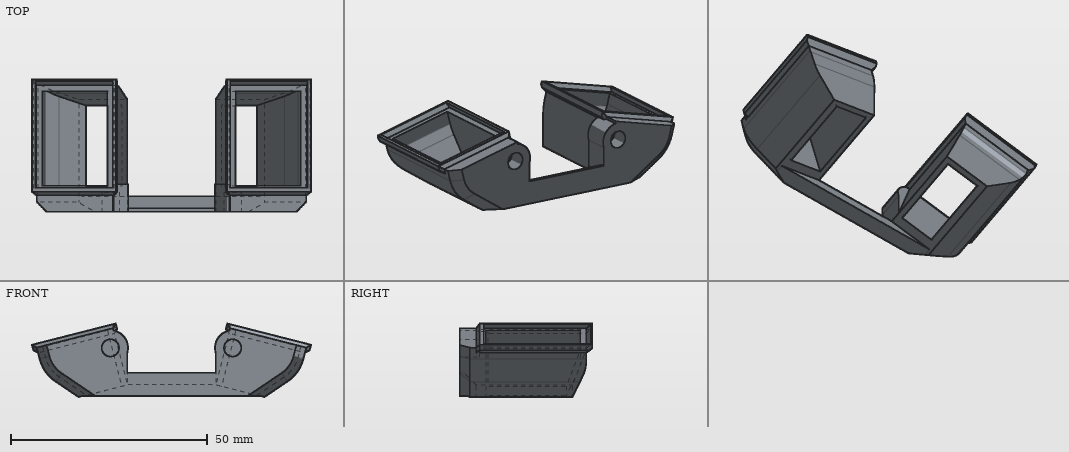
import math

import cadquery as cq

OVERALL_LENGTH = 70.98
TILT = 14.28

RIM_WIDTH = 22.0
RIM_FRONT_Y = 5.15
RIM_BACK_Y = 33.7
RIM_SIDE_HEIGHT = 1.5
RIM_BACK_HEIGHT = 0.9
RIM_BASE_DEPTH = 2.3
SIDE_FLARE = 1.0
BACK_FLARE = 1.5
APRON_LENGTH = 0.95
DECK_DEPTH = 1.0

SEAT_DEPTH = 1.1
SEAT_SIDE_WALL = 0.85
SEAT_FRONT_WALL = 1.0
SEAT_BACK_WALL = 0.4
SEAT_BACK_SLOPE = 1.1

BODY_DEPTH = 15.8
BEND_RADIUS = 10.0
OUTER_BEND_DEPTH = 3.9
OUTER_BEND_ANGLE = 41.7
BACK_BEND_DEPTH = 4.5
BACK_BEND_ANGLE = 20.5
SIDE_WALL = 1.5
BACK_WALL = 1.5
CAVITY_FRONT_Y = 6.65

FRAME_BOTTOM_Z = 0.2
FRAME_BEVEL = 2.6
PLATE_BACK_Y = 7.1
BOSS_X = -15.53
BOSS_Z = 12.48
BOSS_RADIUS = 4.5
HOLE_DIAMETER = 4.4
HOLE_DEPTH = 5.0
BAR_TOP_Z = 6.2
BAR_BACK_Y = 4.05
BAR_LEDGE = 1.0
BAR_BACK_Z = 3.2

COS_TILT = math.cos(math.radians(TILT))
SIN_TILT = math.sin(math.radians(TILT))
BODY_OUTER_U = SIDE_FLARE
BODY_INNER_U = RIM_WIDTH - SIDE_FLARE
BODY_BACK_Y = RIM_BACK_Y - BACK_FLARE
DECK_FRONT_Y = RIM_FRONT_Y - APRON_LENGTH
BLANK_DEPTH = BODY_DEPTH + RIM_WIDTH * SIN_TILT


def bend_shift(drop, inset, bend_angle):
    """Inward shift of a bent wall face at a drop below the bend start, inset from the outer face."""
    radius = BEND_RADIUS - inset
    angle = math.radians(bend_angle)
    straight_drop = drop - radius * math.sin(angle)
    return radius * (1 - math.cos(angle)) + straight_drop * math.tan(angle)


FOOT_U = BODY_OUTER_U + bend_shift(BODY_DEPTH - OUTER_BEND_DEPTH, 0, OUTER_BEND_ANGLE)
RIM_OUTER_X = -OVERALL_LENGTH / 2
RIM_OUTER_Z = BODY_DEPTH * COS_TILT - FOOT_U * SIN_TILT
PLATE_INNER_X = RIM_OUTER_X + BODY_INNER_U * COS_TILT + BODY_DEPTH * SIN_TILT


def place(tray_shape):
    """Tilt a shape from the level tray frame into its position on the part."""
    tilted = tray_shape.rotate((0, 0, 0), (0, 1, 0), -TILT)
    return tilted.translate((RIM_OUTER_X, 0, RIM_OUTER_Z))


def box(x_start, x_end, y_start, y_end, z_start, z_end):
    size = (x_end - x_start, y_end - y_start, z_end - z_start)
    return cq.Workplane("XY").box(*size, centered=False).translate((x_start, y_start, z_start))


def bent_wall_section(plane, wall, far_side, inset, bend, top_depth, bottom_depth):
    """Closed section between a bent wall face and a straight far side.

    The face is upright down to the bend depth, then leans over towards the far side by the
    bend angle; bend is that (depth, angle) pair.
    """
    bend_depth, bend_angle = bend
    radius = BEND_RADIUS - inset
    inward = math.copysign(1, far_side - wall)

    def bend_point(angle):
        radians = math.radians(angle)
        return (
            wall + inward * radius * (1 - math.cos(radians)),
            -bend_depth - radius * math.sin(radians),
        )

    foot = wall + inward * bend_shift(bottom_depth - bend_depth, inset, bend_angle)
    return (
        cq.Workplane(plane)
        .moveTo(far_side, -top_depth)
        .lineTo(wall, -top_depth)
        .lineTo(wall, -bend_depth)
        .threePointArc(bend_point(bend_angle / 2), bend_point(bend_angle))
        .lineTo(foot, -bottom_depth)
        .lineTo(far_side, -bottom_depth)
        .close()
    )


def make_blank(inset, inner_u, front_y, top_depth, bottom_depth):
    """Block bounded by the outer wall face, from front_y to the rim back."""
    bend = (OUTER_BEND_DEPTH, OUTER_BEND_ANGLE)
    outer_u = BODY_OUTER_U + inset
    section = bent_wall_section("XZ", outer_u, inner_u, inset, bend, top_depth, bottom_depth)
    return section.extrude(front_y - RIM_BACK_Y).translate((0, front_y, 0))


def make_back_limit(inset, front_y):
    """Block bounded by the back wall face, across the full rim width."""
    bend = (BACK_BEND_DEPTH, BACK_BEND_ANGLE)
    section = bent_wall_section("YZ", BODY_BACK_Y - inset, front_y, inset, bend, 0, BODY_DEPTH)
    return section.extrude(RIM_WIDTH)


def make_bevelled_blank():
    """Over-deep solid block with its front outer edges bevelled."""
    blank = make_blank(0, BODY_INNER_U, 0, DECK_DEPTH, BLANK_DEPTH)
    outer_edges = blank.faces("<Y").edges("not (>X or >Z or <Z)")
    return outer_edges.chamfer(FRAME_BEVEL)


def upright_rectangle(u_start, u_end, depth_start, depth_end, y):
    corners = [
        (u_start, y, -depth_start),
        (u_end, y, -depth_start),
        (u_end, y, -depth_end),
        (u_start, y, -depth_end),
    ]
    return cq.Wire.makePolygon([cq.Vector(*corner) for corner in corners], close=True)


def level_rectangle(u_start, u_end, y_start, y_end, depth):
    corners = [
        (u_start, y_start, -depth),
        (u_end, y_start, -depth),
        (u_end, y_end, -depth),
        (u_start, y_end, -depth),
    ]
    return cq.Wire.makePolygon([cq.Vector(*corner) for corner in corners], close=True)


def frustum(start_wire, end_wire):
    return cq.Workplane(cq.Solid.makeLoft([start_wire, end_wire], True))


def make_rim():
    """Rim with a flared underside at the sides and back, and a sloped apron in front."""
    across = [
        (0, 0),
        (RIM_WIDTH, 0),
        (RIM_WIDTH, -RIM_SIDE_HEIGHT),
        (BODY_INNER_U, -RIM_BASE_DEPTH),
        (BODY_OUTER_U, -RIM_BASE_DEPTH),
        (0, -RIM_SIDE_HEIGHT),
    ]
    along = [
        (RIM_FRONT_Y, 0),
        (RIM_BACK_Y, 0),
        (RIM_BACK_Y, -RIM_BACK_HEIGHT),
        (BODY_BACK_Y, -RIM_BASE_DEPTH),
        (RIM_FRONT_Y, -RIM_BASE_DEPTH),
    ]
    across_prism = cq.Workplane("XZ").polyline(across).close().extrude(-RIM_BACK_Y)
    along_prism = cq.Workplane("YZ").polyline(along).close().extrude(RIM_WIDTH)
    apron = frustum(
        upright_rectangle(0, RIM_WIDTH, 0, RIM_SIDE_HEIGHT, RIM_FRONT_Y),
        upright_rectangle(BODY_OUTER_U, BODY_INNER_U, DECK_DEPTH, RIM_BASE_DEPTH, DECK_FRONT_Y),
    )
    return across_prism.intersect(along_prism).union(apron)


def make_seat():
    """Shallow recess in the rim with a sloping back wall."""
    u_start = SEAT_SIDE_WALL
    u_end = RIM_WIDTH - SEAT_SIDE_WALL
    y_start = RIM_FRONT_Y + SEAT_FRONT_WALL
    y_end = RIM_BACK_Y - SEAT_BACK_WALL
    return frustum(
        level_rectangle(u_start, u_end, y_start, y_end, 0),
        level_rectangle(u_start, u_end, y_start, y_end - SEAT_BACK_SLOPE, SEAT_DEPTH),
    )


def make_cavity():
    """Opening right through the tray, following its walls."""
    blank = make_blank(SIDE_WALL, BODY_INNER_U - SIDE_WALL, CAVITY_FRONT_Y, 0, BODY_DEPTH)
    return blank.intersect(make_back_limit(BACK_WALL, CAVITY_FRONT_Y))


def front_cylinder(radius, length):
    """Cylinder about the hinge axis, from the front face back."""
    return cq.Workplane("XZ").center(BOSS_X, BOSS_Z).circle(radius).extrude(-length)


def make_plate():
    """Hinge boss and the upright web that carries it, down to the tray floor."""
    foot_z = RIM_OUTER_Z + BODY_INNER_U * SIN_TILT - BODY_DEPTH * COS_TILT
    web = box(BOSS_X, PLATE_INNER_X, 0, PLATE_BACK_Y, foot_z, BOSS_Z)
    return web.union(front_cylinder(BOSS_RADIUS, PLATE_BACK_Y))


def make_tray():
    """Left-hand tray with its plate and its share of the front frame."""
    blank = make_bevelled_blank()
    body = place(blank.intersect(make_back_limit(0, 0)))
    frame_zone = box(RIM_OUTER_X, PLATE_INNER_X, 0, BAR_BACK_Y, FRAME_BOTTOM_Z, BOSS_Z)
    frame_end = place(blank).intersect(frame_zone)
    tray = body.union(frame_end).union(make_plate()).union(place(make_rim()))
    tray = tray.cut(place(make_seat())).cut(place(make_cavity()))
    return tray.cut(front_cylinder(HOLE_DIAMETER / 2, HOLE_DEPTH))


def make_bar():
    """Bar joining the plates: narrow flat ledge in front, then a slope down to the back."""
    section = [
        (0, FRAME_BOTTOM_Z),
        (BAR_BACK_Y, FRAME_BOTTOM_Z),
        (BAR_BACK_Y, BAR_BACK_Z),
        (BAR_LEDGE, BAR_TOP_Z),
        (0, BAR_TOP_Z),
    ]
    return cq.Workplane("YZ").polyline(section).close().extrude(-PLATE_INNER_X, both=True)


left_tray = make_tray()
result = left_tray.union(left_tray.mirror("YZ")).union(make_bar())